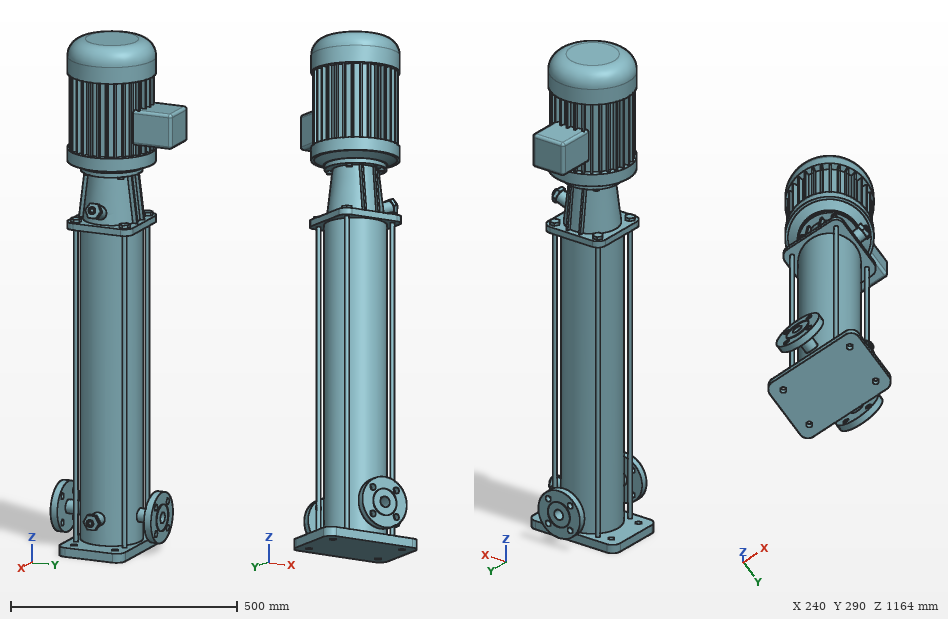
import cadquery as cq
import math

TOTAL_HEIGHT = 1164.0

BASE_LENGTH = 240.0
BASE_WIDTH = 158.0
BASE_THICKNESS = 21.0
PLATE_CORNER_RADIUS = 21.0
BASE_HOLE_DIAMETER = 14.0
BASE_HOLE_X = 90.0
BASE_HOLE_Y = 50.0

TUBE_DIAMETER = 140.0
HEAD_PLATE_SIDE = BASE_WIDTH
HEAD_PLATE_BOTTOM = 738.0
HEAD_PLATE_THICKNESS = 15.0
TIE_ROD_DIAMETER = 10.0
TIE_ROD_OFFSET = 59.0
NUT_ACROSS_FLATS = 21.0
NUT_HEIGHT = 7.0

PORT_HEIGHT = 81.0
PORT_BORE = 25.0
PORT_PIPE_DIAMETER = 31.0
PORT_FLANGE_DIAMETER = 115.0
PORT_FLANGE_INNER = 106.0
PORT_REACH = 125.0
PORT_HOLE_DIAMETER = 14.0
PORT_HOLE_OFFSET = 30.0
RAISED_FACE_DIAMETER = 60.0
RAISED_FACE_HEIGHT = 1.7

PLUG_BODY_DIAMETER = 30.0
PLUG_HEX_ACROSS_FLATS = 33.0
PLUG_HEX_LENGTH = 9.0
PLUG_NECK_DIAMETER = 9.0
PLUG_NECK_LENGTH = 5.0
PLUG_CAP_DIAMETER = 16.0
PLUG_CAP_LENGTH = 2.0
DRAIN_PLUG_BODY_LENGTH = 98.0
VENT_PLUG_BODY_LENGTH = 94.0
VENT_PLUG_ORIGIN_HEIGHT = 758.0
VENT_PLUG_TILT = 20.0

LANTERN_BOTTOM_RADIUS = 64.0
LANTERN_TOP_RADIUS = 51.0
RIB_BOTTOM_REACH = 71.0
RIB_TOP_REACH = 57.0
RIB_THICKNESS = 5.0
RIB_OFFSET = 17.0

MOTOR_BOTTOM = 864.0
MOTOR_FOOT_RADIUS = 69.0
MOTOR_FOOT_TOP = 874.0
MOTOR_NECK_RADIUS = 71.0
SHIELD_CHAMFER_RADIUS = 92.0
SHIELD_BOTTOM = 886.0
SHIELD_TOP = 915.0
MOTOR_DIAMETER = 197.0
COWL_BOTTOM = 1086.0
DOME_RADIUS = 40.0
CORE_RADIUS = 84.0
FIN_RADIUS = 94.0
FIN_THICKNESS = 5.0
FIN_COUNT = 30
MOTOR_BOLT_OFFSET = 42.0
MOTOR_BOLT_DIAMETER = 13.0
MOTOR_BOLT_HEIGHT = 5.2

BOX_WIDTH = 86.0
BOX_BOTTOM = 938.0
BOX_TOP = 1018.0
BOX_REACH = 165.0
BOX_EDGE_RADIUS = 7.0

HEAD_PLATE_TOP = HEAD_PLATE_BOTTOM + HEAD_PLATE_THICKNESS
LANTERN_HEIGHT = MOTOR_BOTTOM - HEAD_PLATE_TOP
TUBE_RADIUS = TUBE_DIAMETER / 2
MOTOR_RADIUS = MOTOR_DIAMETER / 2


def square_points(offset):
    return [(sx * offset, sy * offset) for sx in (-1, 1) for sy in (-1, 1)]


def rounded_plate(length, width, thickness, bottom):
    plate = cq.Workplane("XY").box(length, width, thickness, centered=(True, True, False))
    return plate.edges("|Z").fillet(PLATE_CORNER_RADIUS).translate((0, 0, bottom))


def base_plate():
    plate = rounded_plate(BASE_LENGTH, BASE_WIDTH, BASE_THICKNESS, 0)
    holes = (
        cq.Workplane("XY")
        .rect(2 * BASE_HOLE_X, 2 * BASE_HOLE_Y, forConstruction=True)
        .vertices()
        .circle(BASE_HOLE_DIAMETER / 2)
        .extrude(BASE_THICKNESS)
    )
    return plate.cut(holes)


def column():
    """Pump tube, head plate and the four tie rods with their nuts."""
    tube = cq.Workplane("XY").circle(TUBE_RADIUS).extrude(HEAD_PLATE_TOP)
    head_plate = rounded_plate(HEAD_PLATE_SIDE, HEAD_PLATE_SIDE, HEAD_PLATE_THICKNESS, HEAD_PLATE_BOTTOM)
    corners = square_points(TIE_ROD_OFFSET)
    rods = (
        cq.Workplane("XY")
        .pushPoints(corners)
        .circle(TIE_ROD_DIAMETER / 2)
        .extrude(HEAD_PLATE_TOP)
    )
    nuts = (
        cq.Workplane("XY", origin=(0, 0, HEAD_PLATE_TOP))
        .pushPoints(corners)
        .polygon(6, NUT_ACROSS_FLATS / math.cos(math.pi / 6))
        .extrude(NUT_HEIGHT)
    )
    return tube.union(head_plate).union(rods).union(nuts)


def port_cylinder(diameter, start, end):
    """Cylinder along -Y at port height, between two distances from the pump axis."""
    plane = cq.Workplane("XZ", origin=(0, -start, PORT_HEIGHT))
    return plane.circle(diameter / 2).extrude(end - start)


def port():
    """Flanged pipe pointing along -Y, with its bolt holes and a bore as deep as the pipe."""
    flange_face = PORT_REACH - RAISED_FACE_HEIGHT
    pipe = port_cylinder(PORT_PIPE_DIAMETER, 0, PORT_FLANGE_INNER)
    flange = port_cylinder(PORT_FLANGE_DIAMETER, PORT_FLANGE_INNER, flange_face)
    raised_face = port_cylinder(RAISED_FACE_DIAMETER, flange_face, PORT_REACH)
    bolt_holes = (
        cq.Workplane("XZ", origin=(0, -PORT_FLANGE_INNER, PORT_HEIGHT))
        .pushPoints(square_points(PORT_HOLE_OFFSET))
        .circle(PORT_HOLE_DIAMETER / 2)
        .extrude(PORT_REACH - PORT_FLANGE_INNER)
    )
    bore = port_cylinder(PORT_BORE, TUBE_RADIUS, PORT_REACH)
    return pipe.union(flange).union(raised_face).cut(bolt_holes).cut(bore)


def plug(body_length):
    """Threaded plug along +X, starting on the pump axis: body, hexagon, neck and cap."""
    return (
        cq.Workplane("YZ")
        .circle(PLUG_BODY_DIAMETER / 2)
        .extrude(body_length)
        .faces(">X")
        .workplane()
        .polygon(6, PLUG_HEX_ACROSS_FLATS / math.cos(math.pi / 6))
        .extrude(PLUG_HEX_LENGTH)
        .faces(">X")
        .workplane()
        .circle(PLUG_NECK_DIAMETER / 2)
        .extrude(PLUG_NECK_LENGTH)
        .faces(">X")
        .workplane()
        .circle(PLUG_CAP_DIAMETER / 2)
        .extrude(PLUG_CAP_LENGTH)
    )


def lantern():
    """Conical motor stool with a pair of ribs on the -Y and +Y sides."""
    cone = (
        cq.Workplane("XY", origin=(0, 0, HEAD_PLATE_TOP))
        .circle(LANTERN_BOTTOM_RADIUS)
        .workplane(offset=LANTERN_HEIGHT)
        .circle(LANTERN_TOP_RADIUS)
        .loft(ruled=True)
    )
    for x in (-RIB_OFFSET, RIB_OFFSET):
        rib = (
            cq.Workplane("YZ", origin=(x, 0, 0))
            .moveTo(-RIB_BOTTOM_REACH, HEAD_PLATE_TOP)
            .lineTo(RIB_BOTTOM_REACH, HEAD_PLATE_TOP)
            .lineTo(RIB_TOP_REACH, MOTOR_BOTTOM)
            .lineTo(-RIB_TOP_REACH, MOTOR_BOTTOM)
            .close()
            .extrude(RIB_THICKNESS / 2, both=True)
        )
        cone = cone.union(rib)
    return cone


def motor():
    """Finned motor: foot, end shield, core and domed cowl are one turned body."""
    dome_start = TOTAL_HEIGHT - DOME_RADIUS
    dome_mid = DOME_RADIUS * math.sqrt(0.5)
    flat_radius = MOTOR_RADIUS - DOME_RADIUS
    body = (
        cq.Workplane("XZ")
        .moveTo(0, MOTOR_BOTTOM)
        .lineTo(MOTOR_FOOT_RADIUS, MOTOR_BOTTOM)
        .lineTo(MOTOR_FOOT_RADIUS, MOTOR_FOOT_TOP)
        .lineTo(MOTOR_NECK_RADIUS, MOTOR_FOOT_TOP)
        .lineTo(SHIELD_CHAMFER_RADIUS, SHIELD_BOTTOM)
        .lineTo(MOTOR_RADIUS, SHIELD_BOTTOM)
        .lineTo(MOTOR_RADIUS, SHIELD_TOP)
        .lineTo(CORE_RADIUS, SHIELD_TOP)
        .lineTo(CORE_RADIUS, COWL_BOTTOM)
        .lineTo(MOTOR_RADIUS, COWL_BOTTOM)
        .lineTo(MOTOR_RADIUS, dome_start)
        .threePointArc((flat_radius + dome_mid, dome_start + dome_mid), (flat_radius, TOTAL_HEIGHT))
        .lineTo(0, TOTAL_HEIGHT)
        .close()
        .revolve(360, (0, 0, 0), (0, 1, 0))
    )
    bar = cq.Workplane("XY", origin=(0, 0, SHIELD_TOP)).rect(FIN_THICKNESS, 2 * FIN_RADIUS)
    bar = bar.extrude(COWL_BOTTOM - SHIELD_TOP)
    for index in range(FIN_COUNT // 2):
        body = body.union(bar.rotate((0, 0, 0), (0, 0, 1), index * 360 / FIN_COUNT))
    bolts = (
        cq.Workplane("XY", origin=(0, 0, MOTOR_BOTTOM - MOTOR_BOLT_HEIGHT))
        .pushPoints(square_points(MOTOR_BOLT_OFFSET))
        .circle(MOTOR_BOLT_DIAMETER / 2)
        .extrude(MOTOR_BOLT_HEIGHT)
    )
    return body.union(bolts)


def terminal_box():
    """Rounded box on the +Y side of the motor, running into the motor core."""
    box = cq.Workplane("XY", origin=(0, 0, BOX_BOTTOM)).box(
        BOX_WIDTH, BOX_REACH, BOX_TOP - BOX_BOTTOM, centered=(True, False, False)
    )
    return box.edges("|Y or >Y").fillet(BOX_EDGE_RADIUS)


front_port = port()
rear_port = port().rotate((0, 0, 0), (0, 0, 1), 180)
drain_plug = plug(DRAIN_PLUG_BODY_LENGTH).translate((0, 0, PORT_HEIGHT))
vent_plug = (
    plug(VENT_PLUG_BODY_LENGTH)
    .rotate((0, 0, 0), (0, 1, 0), -VENT_PLUG_TILT)
    .translate((0, 0, VENT_PLUG_ORIGIN_HEIGHT))
)

components = [column(), front_port, rear_port, drain_plug]
components += [lantern(), vent_plug, motor(), terminal_box()]

result = base_plate()
for component in components:
    result = result.union(component)